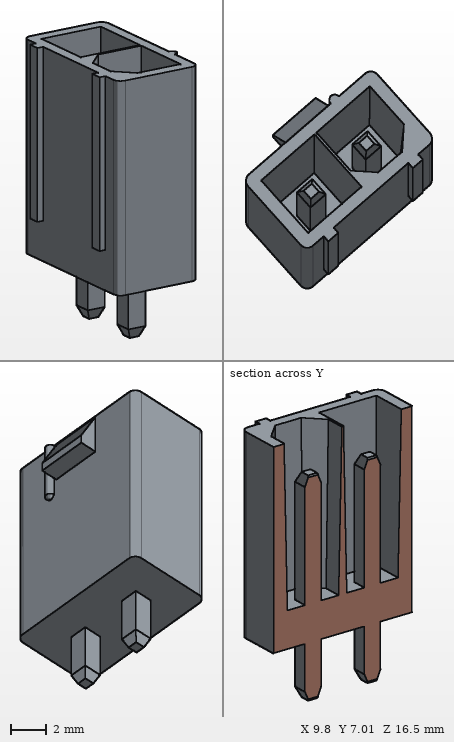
import cadquery as cq
import math

body_width = 9.8
body_depth = 5.51
corner_radius = 0.5
total_height = 16.45
pin_length_below = 3.6
body_height = total_height - pin_length_below
back_face_y = body_depth / 2
front_face_y = -body_depth / 2

pitch = 4.2
cavity_side = 4.05
key_chamfer = 1.1
floor_thickness = 2.43
floor_inset = 0.23

pin_side = 1.17
pin_tip_side = 0.63
pin_tip_height = 0.64
pin_top_gap = 2.43
pin_top_z = body_height - pin_top_gap

rib_width = 0.75
rib_depth = 0.4
rib_bottom_z = 2.43
rib_spacing = 6.42

latch_width = 3.24
latch_reach = 1.1
latch_top_gap = 0.08
latch_nose_drop = 2.17
latch_height = 2.75

bead_x = 2.1
bead_radius = 0.31
bead_length = 4.01
bead_tip_height = 0.23


def box_between(x_range, y_range, z_range):
    """Box given by its lower and upper limit on each axis."""
    (x0, x1), (y0, y1), (z0, z1) = x_range, y_range, z_range
    return cq.Workplane("XY").box(x1 - x0, y1 - y0, z1 - z0, centered=False).translate((x0, y0, z0))


def make_body():
    return (
        cq.Workplane("XY")
        .rect(body_width, body_depth)
        .extrude(body_height)
        .edges("|Z")
        .fillet(corner_radius)
    )


def make_cavity(center_x, keyed):
    """Solid that fills a cavity: square, with cut front corners when keyed, narrowing to the floor."""
    half = cavity_side / 2
    corners = [(-half, half), (half, half)]
    if keyed:
        corners += [(half, key_chamfer - half), (half - key_chamfer, -half)]
        corners += [(key_chamfer - half, -half), (-half, key_chamfer - half)]
    else:
        corners += [(half, -half), (-half, -half)]
    cavity_depth = body_height - floor_thickness
    draft_angle = math.degrees(math.atan(floor_inset / cavity_depth))
    return (
        cq.Workplane("XY", origin=(center_x, 0, body_height))
        .polyline(corners)
        .close()
        .extrude(-cavity_depth, taper=draft_angle)
    )


def make_pin(center_x):
    """Square pin running through the floor, with both ends tapered."""
    end_inset = (pin_side - pin_tip_side) / 2
    pin = (
        cq.Workplane("XY", origin=(center_x, 0, -pin_length_below))
        .rect(pin_side, pin_side)
        .extrude(pin_length_below + pin_top_z)
    )
    return pin.faces("<Z or >Z").chamfer(pin_tip_height, end_inset)


def make_rib(center_x):
    return box_between(
        (center_x - rib_width / 2, center_x + rib_width / 2),
        (front_face_y - rib_depth, front_face_y),
        (rib_bottom_z, body_height),
    )


def make_latch():
    """Ramp that widens downward to a blunt nose with a flat underside."""
    nose_y = back_face_y + latch_reach
    underside_z = body_height - latch_height
    return (
        cq.Workplane("YZ")
        .moveTo(back_face_y, body_height - latch_top_gap)
        .lineTo(nose_y, body_height - latch_nose_drop)
        .lineTo(nose_y, underside_z)
        .lineTo(back_face_y, underside_z)
        .close()
        .extrude(latch_width / 2, both=True)
    )


def make_bead():
    """Round bead, half sunk in the back face, with a bevelled lower end."""
    return (
        cq.Workplane("XY", origin=(bead_x, back_face_y, body_height - bead_length))
        .circle(bead_radius)
        .extrude(bead_length)
        .faces("<Z")
        .chamfer(bead_tip_height)
    )


result = make_body().union(make_latch()).union(make_bead())
for side in (-1, 1):
    result = result.union(make_rib(side * rib_spacing / 2))
for side in (-1, 1):
    center_x = side * pitch / 2
    result = result.cut(make_cavity(center_x, keyed=side > 0)).union(make_pin(center_x))